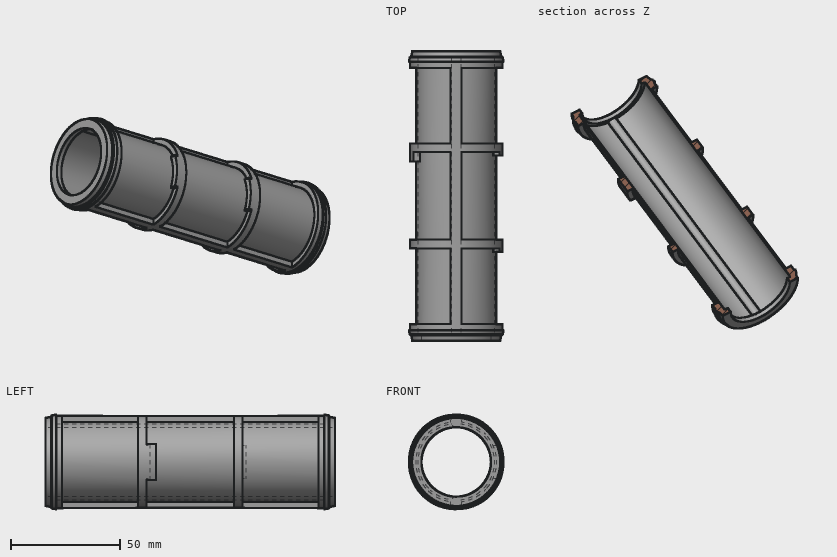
import cadquery as cq

length = 132.6
half_length = length / 2
barrel_radius = 36.9 / 2
ring_radius = 42.4 / 2

lip_radius = 31.7 / 2
lip_depth = 2.7
bore_radius = 17.5
rod_radius = 2.4

nose_radius = 20.2
nose_base_radius = 20.7
nose_length = 2.5
shoulder_distance = 3.0
bead_start_radius = 21.3
bead_radius = 43.4 / 2
bead_distance = 4.8
bead_end_distance = 5.0
collar_length = 7.7

ring_width = 4.0
ring_offset = 22.0
rib_width = 5.0

large_pad_height = 16.5
large_pad_reach = 4.4
small_pad_height = 15.2
small_pad_reach = 1.6


def tube_cylinder(radius, y_start, y_end):
    """Solid cylinder on the tube axis between two Y positions."""
    base = cq.Workplane("XZ", origin=(0, y_start, 0))
    return base.circle(radius).extrude(y_start - y_end)


def end_collar():
    """Stepped collar with a tapered nose, a shoulder and a sharp bead, at the +Y end."""
    profile = [
        (0, half_length),
        (nose_radius, half_length),
        (nose_base_radius, half_length - nose_length),
        (bead_start_radius, half_length - shoulder_distance),
        (bead_radius, half_length - bead_distance),
        (ring_radius, half_length - bead_end_distance),
        (ring_radius, half_length - collar_length),
        (0, half_length - collar_length),
    ]
    return cq.Workplane("XY").polyline(profile).close().revolve(360, (0, 0, 0), (0, 1, 0))


def ring(y_center):
    return tube_cylinder(ring_radius, y_center - ring_width / 2, y_center + ring_width / 2)


def ribs():
    """Opposite ribs at +Z and -Z, flush with the rings."""
    slab = cq.Workplane("XY").box(rib_width, length - 2 * collar_length, 2 * ring_radius)
    return slab.intersect(tube_cylinder(ring_radius, -half_length, half_length))


def label_pad(side, ring_center, height, reach):
    """Pad on the -X (side = -1) or +X (side = 1) flank, flush with the ring."""
    y_end = ring_center
    y_start = ring_center - ring_width / 2 - reach
    block = cq.Workplane("XY").box(ring_radius, y_end - y_start, height)
    block = block.translate((side * ring_radius / 2, (y_start + y_end) / 2, 0))
    return block.intersect(tube_cylinder(ring_radius, y_start, y_end))


def bore():
    middle_end = half_length - lip_depth
    middle = tube_cylinder(bore_radius, -middle_end, middle_end)
    return middle.union(tube_cylinder(lip_radius, -half_length, half_length))


def inner_rods():
    """Round rods along the inside of the tube, level with the bore of the lips."""
    rod_offset = lip_radius + rod_radius
    places = [(0, rod_offset), (0, -rod_offset)]
    base = cq.Workplane("XZ").pushPoints(places)
    return base.circle(rod_radius).extrude(half_length - lip_depth, both=True)


collar = end_collar()
body = tube_cylinder(barrel_radius, -half_length, half_length)
body = body.union(collar).union(collar.mirror("XZ")).union(ribs())
for ring_center in (-ring_offset, ring_offset):
    body = body.union(ring(ring_center))
    body = body.union(label_pad(1, ring_center, small_pad_height, small_pad_reach))
body = body.union(label_pad(-1, ring_offset, large_pad_height, large_pad_reach))

result = body.cut(bore()).union(inner_rods())